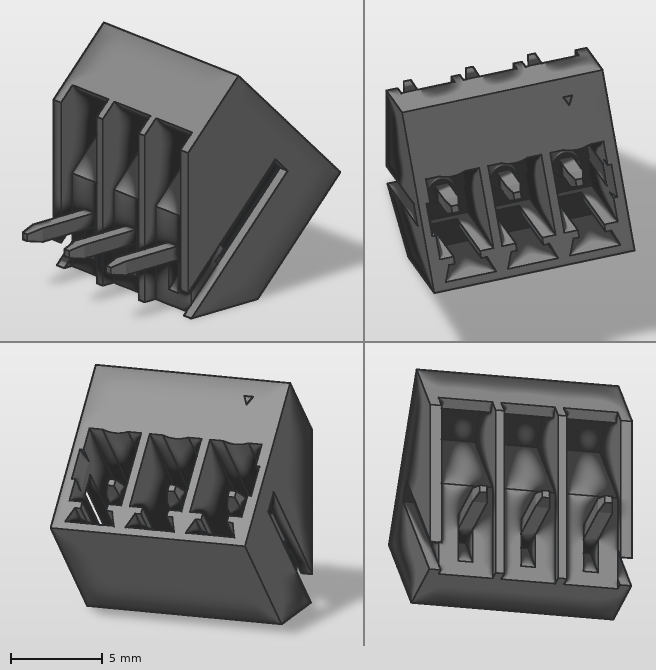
import cadquery as cq
import math

ROOT2 = math.sqrt(2)

OVERALL_LENGTH = 14.9
WIDTH = 11.3
POLES = 3
PITCH = 3.5
CELL_WIDTH = 3.01
HEIGHT = 13.34
REAR_CORNER_Z = 5.97
REAR_CORNER_Y = 11.0
SEAT_LENGTH = REAR_CORNER_Y - REAR_CORNER_Z
PEAK_Y = REAR_CORNER_Y - (HEIGHT - REAR_CORNER_Z)
FRONT_HEIGHT = HEIGHT - PEAK_Y
SIDE_WALL = (WIDTH - (POLES - 1) * PITCH - CELL_WIDTH) / 2

MATING_PLANE = cq.Plane(origin=(0, 0, 0), xDir=(1, 0, 0), normal=(0, 1, 1))
FACE_U = (REAR_CORNER_Y + REAR_CORNER_Z) / ROOT2
UPPER_SLOPE_V = -FRONT_HEIGHT / ROOT2

POCKET_DEPTH = 0.79
POCKET_FLOOR_Z = 5.41
POCKET_SLOPE_V = (POCKET_DEPTH - POCKET_FLOOR_Z) / ROOT2
PLATE_THICKNESS = 0.63
PLATE_END_U = 8.03
POCKET_END_WALL = 1.0

PIN_SIZE = 0.8
PIN_Z = 3.22
PIN_V = -0.46
PIN_TIP_Y = REAR_CORNER_Y - OVERALL_LENGTH
PIN_TAPER = 0.92
PIN_TIP_SIZE = 0.4
PIN_TIP_U = 10.49
PIN_BEND_Y = PIN_Z + PIN_V * ROOT2
LEG_LOWER_V = PIN_V + PIN_SIZE / 2
LEG_UPPER_V = PIN_V - PIN_SIZE / 2
PIN_BOTTOM_Z = PIN_Z - PIN_SIZE / 2
LEG_START_U = PIN_BOTTOM_Z * ROOT2 + LEG_LOWER_V

CAVITY_UPPER_V = -2.88
CAVITY_LOWER_V = 1.75
CAVITY_FLOOR_U = 4.53
TRENCH_FLOOR_U = 3.62
RELIEF_DEPTH = 0.15
KEY_NECK_WIDTH = 1.49
KEY_INNER_WIDTH = 2.15
KEY_OUTER_WIDTH = 2.83
KEY_INNER_V = 2.16
KEY_OUTER_V = 3.07
RIB_HEIGHT = 0.15
COLLAR_RADIUS = 0.8
COLLAR_TOP_U = 6.32
COLLAR_ROUND = 0.15

SLOT_WIDTH = 1.25
SLOT_END_U = 10.0
LEAD_IN_UPPER_V = -1.5
LEAD_IN_LOWER_V = 0.37
LEAD_IN_DEPTH = 0.21
LEAD_IN_LENGTH = 1.27
MARK_SIZE = 0.5
MARK_V = -5.55
MARK_DEPTH = 0.05

POLE_X = [(i - (POLES - 1) / 2) * PITCH for i in range(POLES)]


def tilted_plane(u):
    """Plane parallel to the mating face at distance u."""
    return cq.Workplane(MATING_PLANE).workplane(offset=u)


def tilted_box(x_range, v_range, u_range):
    """Block aligned with the mating direction."""
    x0, x1 = x_range
    v0, v1 = v_range
    u0, u1 = u_range
    return tilted_plane(u0).center((x0 + x1) / 2, (v0 + v1) / 2).rect(x1 - x0, v1 - v0).extrude(u1 - u0)


def side_profile(points, x, width):
    """Prism along X, centred on x, from (Y, Z) points."""
    return cq.Workplane("YZ", origin=(x - width / 2, 0, 0)).polyline(points).close().extrude(width)


def taper(plane):
    """Pyramid frustum forming a pin end."""
    return (
        plane.rect(PIN_SIZE, PIN_SIZE)
        .workplane(offset=PIN_TAPER)
        .rect(PIN_TIP_SIZE, PIN_TIP_SIZE)
        .loft(ruled=True)
    )


def housing():
    """Five-sided body with 45 degree slopes at the mating side."""
    outline = [
        (0, 0),
        (SEAT_LENGTH, 0),
        (REAR_CORNER_Y, REAR_CORNER_Z),
        (PEAK_Y, HEIGHT),
        (0, FRONT_HEIGHT),
    ]
    return side_profile(outline, 0, WIDTH)


def front_pocket(x):
    """Shallow front recess opening into a 45 degree slot under the upper plate."""
    cell = (x - CELL_WIDTH / 2, x + CELL_WIDTH / 2)
    recess_corners = [(0, 0), (POCKET_DEPTH, 0), (POCKET_DEPTH, POCKET_FLOOR_Z), (0, POCKET_FLOOR_Z)]
    recess = side_profile(recess_corners, x, CELL_WIDTH)
    mouth_u = (POCKET_DEPTH + POCKET_FLOOR_Z) / ROOT2
    mouth_corners = [
        (0, POCKET_FLOOR_Z),
        (POCKET_DEPTH, POCKET_FLOOR_Z),
        ((PLATE_END_U + POCKET_SLOPE_V) / ROOT2, (PLATE_END_U - POCKET_SLOPE_V) / ROOT2),
        ((PLATE_END_U + UPPER_SLOPE_V) / ROOT2, (PLATE_END_U - UPPER_SLOPE_V) / ROOT2),
        (0, FRONT_HEIGHT),
    ]
    mouth = side_profile(mouth_corners, x, CELL_WIDTH)
    slot_v = (UPPER_SLOPE_V + PLATE_THICKNESS, POCKET_SLOPE_V)
    slot = tilted_box(cell, slot_v, (mouth_u, FACE_U - POCKET_END_WALL))
    return recess.union(mouth).union(slot)


def pin_window(x):
    """Wedge-shaped opening below the pin, with its floor in line with the inner leg."""
    floor_offset = LEG_LOWER_V * ROOT2
    corners = [
        (POCKET_DEPTH, POCKET_DEPTH - floor_offset),
        (PIN_BOTTOM_Z + floor_offset, PIN_BOTTOM_Z),
        (POCKET_DEPTH, PIN_BOTTOM_Z),
    ]
    return side_profile(corners, x, PIN_SIZE)


def cavity(x):
    """Plug cavity with a dovetail key groove and a rounded rib on the opposite wall."""
    cell = (x - CELL_WIDTH / 2, x + CELL_WIDTH / 2)
    depth = FACE_U - CAVITY_FLOOR_U
    neck = KEY_NECK_WIDTH / 2
    room = tilted_box(cell, (CAVITY_UPPER_V, CAVITY_LOWER_V), (CAVITY_FLOOR_U, FACE_U))
    key = (
        tilted_plane(CAVITY_FLOOR_U)
        .polyline([
            (x - neck, CAVITY_LOWER_V),
            (x - neck, KEY_INNER_V),
            (x - KEY_INNER_WIDTH / 2, KEY_INNER_V),
            (x - KEY_OUTER_WIDTH / 2, KEY_OUTER_V),
            (x + KEY_OUTER_WIDTH / 2, KEY_OUTER_V),
            (x + KEY_INNER_WIDTH / 2, KEY_INNER_V),
            (x + neck, KEY_INNER_V),
            (x + neck, CAVITY_LOWER_V),
        ])
        .close()
        .extrude(depth)
    )
    rib = (
        tilted_plane(CAVITY_FLOOR_U)
        .moveTo(x - neck, CAVITY_UPPER_V)
        .threePointArc((x, CAVITY_UPPER_V + RIB_HEIGHT), (x + neck, CAVITY_UPPER_V))
        .close()
        .extrude(depth)
    )
    trench = tilted_box(cell, (LEG_LOWER_V, CAVITY_LOWER_V), (TRENCH_FLOOR_U, CAVITY_FLOOR_U))
    return room.union(key).union(trench).cut(rib)


def collar(x):
    """Round collar that holds the inner leg of the pin."""
    post = tilted_plane(TRENCH_FLOOR_U).center(x, PIN_V).circle(COLLAR_RADIUS)
    post = post.extrude(COLLAR_TOP_U - TRENCH_FLOOR_U)
    top_face = cq.selectors.DirectionMinMaxSelector(MATING_PLANE.zDir, True)
    return post.faces(top_face).edges().fillet(COLLAR_ROUND)


def pin(x):
    """Bent square pin: straight tail along -Y and a leg along the mating direction."""
    half = PIN_SIZE / 2
    tail_end = PIN_TIP_Y + PIN_TAPER
    tail_plane = cq.Workplane("XZ", origin=(x, tail_end, PIN_Z))
    tail = tail_plane.rect(PIN_SIZE, PIN_SIZE).extrude(tail_end - PIN_BEND_Y)
    leg_end = PIN_TIP_U - PIN_TAPER
    leg = tilted_box((x - half, x + half), (LEG_UPPER_V, LEG_LOWER_V), (LEG_START_U, leg_end))
    return tail.union(taper(tail_plane)).union(leg).union(taper(tilted_plane(leg_end).center(x, PIN_V)))


def left_side_cuts():
    """Slot through the side wall, its small relief, and the tapered latch lead-in."""
    outer_x = -WIDTH / 2
    inner_x = outer_x + SIDE_WALL
    slot_upper_v = PIN_V - SLOT_WIDTH / 2
    slot = tilted_box((outer_x, inner_x), (slot_upper_v, slot_upper_v + SLOT_WIDTH), (0, SLOT_END_U))
    relief = tilted_box((inner_x, inner_x + RELIEF_DEPTH), (slot_upper_v, LEG_UPPER_V),
                        (TRENCH_FLOOR_U, CAVITY_FLOOR_U))
    lead_in_origin = MATING_PLANE.toWorldCoords((0, LEAD_IN_LOWER_V, 0))
    lead_in_plane = cq.Plane(origin=lead_in_origin, xDir=(1, 0, 0), normal=(0, -1, 1))
    lead_in = (
        cq.Workplane(lead_in_plane)
        .polyline([(inner_x - LEAD_IN_DEPTH, FACE_U), (inner_x, FACE_U), (inner_x, FACE_U - LEAD_IN_LENGTH)])
        .close()
        .extrude(LEAD_IN_LOWER_V - LEAD_IN_UPPER_V)
    )
    return slot.union(relief).union(lead_in)


def pole_mark():
    """Shallow triangle marking the first pole."""
    x = POLE_X[0]
    half = MARK_SIZE / 2
    return (
        tilted_plane(FACE_U - MARK_DEPTH)
        .polyline([(x - half, MARK_V - half), (x + half, MARK_V - half), (x, MARK_V + half)])
        .close()
        .extrude(MARK_DEPTH)
    )


result = housing()
for pole_x in POLE_X:
    result = result.cut(front_pocket(pole_x)).cut(cavity(pole_x))
side_cuts = left_side_cuts()
result = result.cut(side_cuts).cut(side_cuts.mirror("YZ")).cut(pole_mark())
for pole_x in POLE_X:
    result = result.union(collar(pole_x)).cut(pin_window(pole_x)).union(pin(pole_x))